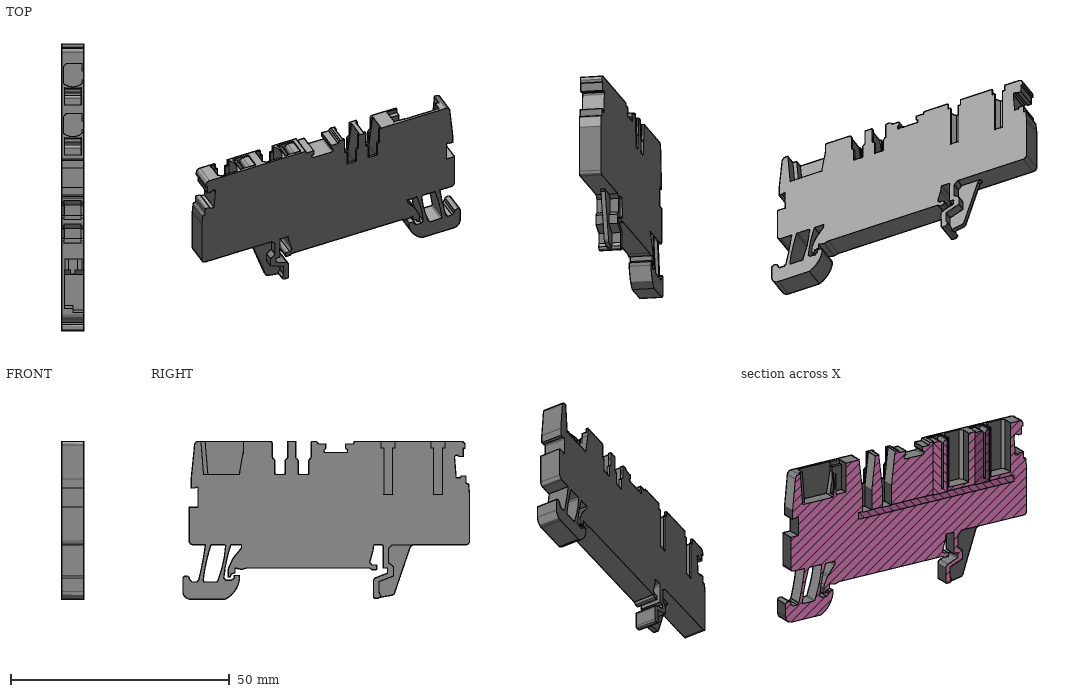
import cadquery as cq
import math


WIDTH = 5.1
LENGTH = 65.63
HEIGHT = 36.15
OVERLAP = 0.2
BASE_Z = 12.47
RAIL_FACE_Z = 7.15

GROOVE_FLOOR_Z = 33.6
GROOVE_UNDERCUT_Z = (34.2, 34.6)
GROOVE_RIM_Z = 35.55
GROOVE_FLOOR_Y = (32.35, 37.65)
GROOVE_MOUTH_Y = (32.75, 37.2)
FRONT_NOTCH_Z = (21.1, 25.45)
FRONT_NOTCH_BOTTOM_Y = 3.45

BRIDGE_PITCH = 5.35
BRIDGE_COUNT = 2
FIRST_BRIDGE_Y = 27.6
BRIDGE_UPPER_WIDTH = 3.5
BRIDGE_LOWER_WIDTH = 2.35
BRIDGE_STEP_Z = 32.1
BRIDGE_BAY_Y = (
    FIRST_BRIDGE_Y - BRIDGE_PITCH - BRIDGE_UPPER_WIDTH / 2,
    FIRST_BRIDGE_Y + BRIDGE_UPPER_WIDTH / 2,
)
BRIDGE_SLOT_FLOOR_Z = 28.6
BRIDGE_CORNER_RADIUS = 0.25
BRIDGE_BAY_FLOOR_Z = 35.0

FUNNEL_X = (0.5, 4.45)
FUNNEL_TOP_WIDTH = 4.3
FUNNEL_THROAT_WIDTH = 2.35
FUNNEL_THROAT_Z = 27.9

BUSBAR_TOP_Z = 23.0
BUSBAR_THICKNESS = 1.5
BUSBAR_X = (0.7, 4.4)
BUSBAR_Y = (20.0, 62.0)

CLAMP_PITCH = 11.4
CLAMP_COUNT = 2
FIRST_CLAMP_Y = 61.15
ENTRY_LENGTH = 5.35
ENTRY_X = (0.45, 4.65)
ENTRY_CORNER_RADIUS = 0.7
ENTRY_ARC_RISE = 0.75
ENTRY_FLOOR_Z = 24.0
ENTRY_LOWER_GAP = (1.75, 3.75)
ENTRY_UPPER_GAP = (1.2, 4.4)
ENTRY_GAP_STEP_DEPTH = 1.5

WINDOW_OFFSET = 5.6
WINDOW_LENGTH = 3.9
WINDOW_X = (0.65, 4.6)

SPRING_X = (0.7, 4.4)
SPRING_TOP_DROP = 0.25
SPRING_FRONT_GAP = 0.2
SPRING_FRONT_WIDTH = 1.0
SPRING_LEG_GAP = 0.5
SPRING_NOSE_RADIUS = 0.75
SPRING_FOOT_THICKNESS = 1.0

POCKET_FLOOR_Z = 28.5
POCKET_RAMP_TOP_Z = 33.9
POCKET_X = 0.65
POCKET_STEP_X = 2.55
POCKET_RAMP_Y = (12.9, 13.85)
POCKET_END_Y = (5.75, 5.1)
POCKET_DEEP_END_Y = (4.75, 4.15)
LATCH_X = (0.8, 4.65)
LATCH_CHANNEL_X = (1.6, 3.6)
LATCH_GROOVE_X = (2.05, 3.1)
LATCH_FLOOR_Z = 29.0
LATCH_END_Y = 16.4
LATCH_LEDGE_DEPTH = 1.0

WEB_X = (2.05, 3.05)
HOOK_RADIUS = 1.8
ARC_INSET = 1 - math.sqrt(0.5)
FOOT_FILLET = 0.3
ROOT = 1.0


def rounded(points):
    """Closed Y-Z outline; a third number on a corner is its rounding radius."""
    count = len(points)
    path = None
    for i, corner in enumerate(points):
        here = cq.Vector(corner[0], corner[1])
        radius = corner[2] if len(corner) > 2 else 0
        if radius:
            before = cq.Vector(*points[i - 1][:2]) - here
            after = cq.Vector(*points[(i + 1) % count][:2]) - here
            before = before.normalized()
            after = after.normalized()
            half = before.getAngle(after) / 2
            reach = radius / math.tan(half)
            middle = (before + after).normalized() * (radius / math.sin(half) - radius)
            stops = [here + before * reach, here + middle, here + after * reach]
        else:
            stops = [here]
        stops = [(p.x, p.y) for p in stops]
        if path is None:
            path = cq.Workplane("YZ").moveTo(*stops[0])
        else:
            path = path.lineTo(*stops[0])
        if radius:
            path = path.threePointArc(stops[1], stops[2])
    return path.close()


def slab(points, x_range=(0, WIDTH)):
    """Prism of a Y-Z outline between two X positions."""
    low, high = x_range
    return rounded(points).extrude(high - low).translate((low, 0, 0))


def block(x_range, y_range, z_range):
    """Box between two positions on each axis."""
    low = [min(pair) for pair in (x_range, y_range, z_range)]
    size = [abs(b - a) for a, b in (x_range, y_range, z_range)]
    return cq.Workplane("XY").box(*size, centered=False).translate(tuple(low))


def main_block():
    """Outline run from the lower +Y corner over the top to the lower -Y corner."""
    return slab([
        (LENGTH, BASE_Z, 0.9),
        (LENGTH, 23.8),
        (65.4, 26.45, 0.3),
        (64.8, 26.45, 0.25),
        (64.8, 28.25, 0.2),
        (63.7, 28.25, 0.15),
        (63.4, 27.85),
        (62.55, 27.85),
        (62.2, 32.2),
        (62.2, 32.7),
        (62.6, 33.0),
        (63.3, 32.65),
        (64.2, 32.65),
        (64.2, 34.55),
        (64.6, 34.55),
        (64.6, HEIGHT, 0.95),
        (39.25, HEIGHT),
        (39.0, GROOVE_RIM_Z),
        (GROOVE_MOUTH_Y[1], GROOVE_RIM_Z),
        (GROOVE_MOUTH_Y[1], GROOVE_UNDERCUT_Z[1]),
        (GROOVE_FLOOR_Y[1], GROOVE_UNDERCUT_Z[0]),
        (GROOVE_FLOOR_Y[1], GROOVE_FLOOR_Z, 0.25),
        (GROOVE_FLOOR_Y[0], GROOVE_FLOOR_Z, 0.25),
        (GROOVE_FLOOR_Y[0], GROOVE_UNDERCUT_Z[0]),
        (GROOVE_MOUTH_Y[0], GROOVE_UNDERCUT_Z[1]),
        (GROOVE_MOUTH_Y[0], GROOVE_RIM_Z),
        (31.05, GROOVE_RIM_Z),
        (30.75, 36.0),
        (30.4, HEIGHT),
        (BRIDGE_BAY_Y[1], HEIGHT, 0.35),
        (BRIDGE_BAY_Y[1], BRIDGE_BAY_FLOOR_Z),
        (BRIDGE_BAY_Y[0], BRIDGE_BAY_FLOOR_Z),
        (BRIDGE_BAY_Y[0], HEIGHT, 0.55),
        (2.75, HEIGHT, 1.0),
        (1.9, 27.55),
        (1.9, FRONT_NOTCH_Z[1]),
        (2.7, FRONT_NOTCH_Z[1]),
        (FRONT_NOTCH_BOTTOM_Y, 25.8, 0.2),
        (FRONT_NOTCH_BOTTOM_Y, FRONT_NOTCH_Z[0]),
        (1.45, FRONT_NOTCH_Z[0]),
        (1.45, BASE_Z, 0.9),
    ])


def bridge_divider():
    middle = FIRST_BRIDGE_Y - BRIDGE_PITCH / 2
    half = (BRIDGE_PITCH - BRIDGE_UPPER_WIDTH) / 2
    return block((0, WIDTH), (middle - half, middle + half), (BRIDGE_BAY_FLOOR_Z, HEIGHT))


def rail_seat():
    """Ridge under the block that rests on the rail, with a lip at each end."""
    return slab([
        (13.4, BASE_Z + ROOT),
        (13.4, 11.75, 0.4),
        (11.5, 9.4, 2),
        (10.37, 7.0, 2),
        (10.37, 5.15),
        (10.9, 5.15),
        (11.1, 5.8, 0.2),
        (12.0, 6.05),
        (12.0, RAIL_FACE_Z),
        (13.5, 6.8, 0.3),
        (14.6, RAIL_FACE_Z),
        (42.75, RAIL_FACE_Z),
        (43.3, 6.75, 0.3),
        (44.4, 6.75, 0.3),
        (44.4, 7.9, 0.3),
        (43.3, 7.9),
        (42.75, 8.4, 0.2),
        (43.5, 11.0),
        (43.7, BASE_Z, FOOT_FILLET),
        (44.5, BASE_Z),
        (44.5, BASE_Z + ROOT),
    ])


def band(left, right):
    """Upright between two arcs, each given by its top, middle and bottom."""
    return (
        cq.Workplane("YZ").moveTo(*left[0]).threePointArc(left[1], left[2])
        .lineTo(*right[2]).threePointArc(right[1], right[0]).close().extrude(WIDTH)
    )


def spring_foot():
    """Hook hanging from two bent leaves, left by a window through one wide upright."""
    upright = band([(11.0, BASE_Z), (9.95, 8.6), (9.4, 4.8)], [(5.15, BASE_Z), (4.5, 8.4), (3.5, 3.9)])
    window = band([(9.8, BASE_Z), (9.1, 7.8), (7.9, 4.0)], [(6.45, BASE_Z), (5.35, 8.4), (4.65, 4.0)])
    window = window.edges("|X").fillet(FOOT_FILLET)
    hook = (
        cq.Workplane("YZ").moveTo(9.4, 4.9).lineTo(9.9, 4.4).lineTo(11.2, 4.4)
        .lineTo(11.75, 4.9).lineTo(11.75, 5.5).lineTo(12.95, 5.5).lineTo(13.0, 4.65)
        .threePointArc((11.9, 1.9), (9.7, 0)).lineTo(HOOK_RADIUS, 0)
        .threePointArc((HOOK_RADIUS * ARC_INSET, HOOK_RADIUS * ARC_INSET), (0, HOOK_RADIUS)).lineTo(0, 4.9)
        .threePointArc((0.75, 5.35), (1.45, 5.0)).lineTo(1.65, 4.45)
        .lineTo(2.1, 4.0).lineTo(3.2, 4.0).lineTo(3.55, 4.4).lineTo(4.0, 4.5)
        .close().extrude(WIDTH)
    )
    return upright.union(hook).cut(window)


def rigid_foot():
    """Full-width strip that hooks the rail, stiffened by a thin web behind it."""
    strip = slab([
        (45.0, BASE_Z + ROOT),
        (45.0, BASE_Z),
        (45.8, BASE_Z, FOOT_FILLET),
        (45.8, RAIL_FACE_Z),
        (46.8, RAIL_FACE_Z),
        (46.8, 6.0, 0.2),
        (43.6, 4.75, 0.9),
        (43.6, 0.2, 0.4),
        (44.8, 0.2, 0.3),
        (45.3, 0.8),
        (44.85, 1.7),
        (44.85, 4.05),
        (48.2, 5.35),
        (48.2, 7.5),
        (47.0, 8.4),
        (47.0, 11.55),
        (47.9, BASE_Z),
        (47.9, BASE_Z + ROOT),
    ])
    web = slab([
        (46.0, BASE_Z + ROOT),
        (52.7, BASE_Z + ROOT),
        (52.7, BASE_Z),
        (52.05, 12.0),
        (48.3, 1.0, 0.8),
        (45.2, 0.45),
        (44.85, 1.7),
        (44.85, 4.05),
        (47.5, 5.35),
        (47.5, 7.5),
        (46.0, 8.4),
    ], WEB_X)
    return strip.union(web)


def bridge_cut(index):
    """Stepped slot through both side walls, with a tapered funnel between them."""
    centre = FIRST_BRIDGE_Y - index * BRIDGE_PITCH
    lower = BRIDGE_LOWER_WIDTH / 2
    upper = BRIDGE_UPPER_WIDTH / 2
    chamfer = (upper - lower) / 2
    above = HEIGHT + 1
    outline = [
        (centre - lower, BRIDGE_SLOT_FLOOR_Z, BRIDGE_CORNER_RADIUS),
        (centre + lower, BRIDGE_SLOT_FLOOR_Z, BRIDGE_CORNER_RADIUS),
        (centre + lower, BRIDGE_STEP_Z - chamfer),
        (centre + upper, BRIDGE_STEP_Z + chamfer),
        (centre + upper, above),
        (centre - upper, above),
        (centre - upper, BRIDGE_STEP_Z + chamfer),
        (centre - lower, BRIDGE_STEP_Z - chamfer),
    ]
    near_side = slab(outline, (0, FUNNEL_X[0]))
    far_side = slab(outline, (FUNNEL_X[1], WIDTH))
    top = FUNNEL_TOP_WIDTH / 2
    throat = FUNNEL_THROAT_WIDTH / 2
    funnel = slab([
        (centre - throat, BUSBAR_TOP_Z),
        (centre + throat, BUSBAR_TOP_Z),
        (centre + throat, FUNNEL_THROAT_Z),
        (centre + top, HEIGHT),
        (centre - top, HEIGHT),
        (centre - throat, FUNNEL_THROAT_Z),
    ], FUNNEL_X)
    return funnel.union(near_side).union(far_side)


def entry_cut(index):
    """Wire shaft with a bowed -Y wall and a stepped gap in the +X wall."""
    start = FIRST_CLAMP_Y - index * CLAMP_PITCH
    end = start - ENTRY_LENGTH
    low, high = ENTRY_X
    shoulder = end + ENTRY_ARC_RISE
    depth = HEIGHT - ENTRY_FLOOR_Z
    floor = cq.Workplane("XY", origin=(0, 0, ENTRY_FLOOR_Z))
    corner = ENTRY_CORNER_RADIUS
    shaft = (
        floor.moveTo(high, start).lineTo(low + corner, start).lineTo(low, start - corner)
        .lineTo(low, shoulder).threePointArc(((low + high) / 2, end), (high, shoulder))
        .close().extrude(depth)
    )
    gap_x = (high - OVERLAP, WIDTH)

    def gap(reach, bottom):
        near, far = reach
        return block(gap_x, (start - near, start - far), (bottom, HEIGHT))

    lower_gap = gap(ENTRY_LOWER_GAP, ENTRY_FLOOR_Z)
    upper_gap = gap(ENTRY_UPPER_GAP, HEIGHT - ENTRY_GAP_STEP_DEPTH)
    return shaft.union(lower_gap).union(upper_gap)


def window_start(index):
    return FIRST_CLAMP_Y - index * CLAMP_PITCH - WINDOW_OFFSET


def window_cut(index):
    start = window_start(index)
    return block(WINDOW_X, (start - WINDOW_LENGTH, start), (BUSBAR_TOP_Z, HEIGHT))


def pocket_cut():
    """Marking pocket with sloped ends and a latch recess at its +Y end."""
    ramp_foot, ramp_head = POCKET_RAMP_Y

    def bay(ends, x_range):
        floor_end, top_end = ends
        return slab([
            (floor_end, POCKET_FLOOR_Z),
            (ramp_foot, POCKET_FLOOR_Z),
            (ramp_head, POCKET_RAMP_TOP_Z),
            (ramp_head, HEIGHT),
            (top_end, HEIGHT),
        ], x_range)

    ledge = block(LATCH_X, (ramp_head - OVERLAP, LATCH_END_Y), (HEIGHT - LATCH_LEDGE_DEPTH, HEIGHT))
    channel = block(LATCH_CHANNEL_X, (ramp_head, LATCH_END_Y), (LATCH_FLOOR_Z, HEIGHT))
    groove = block(LATCH_GROOVE_X, (ramp_foot, LATCH_END_Y), (LATCH_FLOOR_Z, HEIGHT))
    pocket = bay(POCKET_END_Y, (POCKET_X, WIDTH)).union(bay(POCKET_DEEP_END_Y, (POCKET_STEP_X, WIDTH)))
    return pocket.union(ledge).union(channel).union(groove)


def make_busbar():
    return block(BUSBAR_X, BUSBAR_Y, (BUSBAR_TOP_Z - BUSBAR_THICKNESS, BUSBAR_TOP_Z))


def make_housing():
    body = main_block().union(bridge_divider()).union(rail_seat()).union(spring_foot()).union(rigid_foot())
    for index in range(BRIDGE_COUNT):
        body = body.cut(bridge_cut(index))
    for index in range(CLAMP_COUNT):
        body = body.cut(entry_cut(index)).cut(window_cut(index))
    return body.cut(pocket_cut()).cut(make_busbar())


def make_spring(index):
    """U-shaped spring standing on the busbar, with a rounded front leg."""
    front = window_start(index) - SPRING_FRONT_GAP
    front_end = front - SPRING_FRONT_WIDTH
    rear = front_end - SPRING_LEG_GAP
    rear_end = window_start(index) - WINDOW_LENGTH
    top = HEIGHT - SPRING_TOP_DROP
    floor = BUSBAR_TOP_Z
    valley = floor + SPRING_FOOT_THICKNESS
    return slab([
        (front, floor),
        (front, top),
        (front_end, top, SPRING_NOSE_RADIUS),
        (front_end, valley),
        (rear, valley),
        (rear, top, SPRING_NOSE_RADIUS),
        (rear_end, top),
        (rear_end, floor),
    ], SPRING_X)


housing = make_housing()
busbar = make_busbar()
springs = [make_spring(index) for index in range(CLAMP_COUNT)]

result = cq.Compound.makeCompound([housing.val(), busbar.val(), *[spring.val() for spring in springs]])